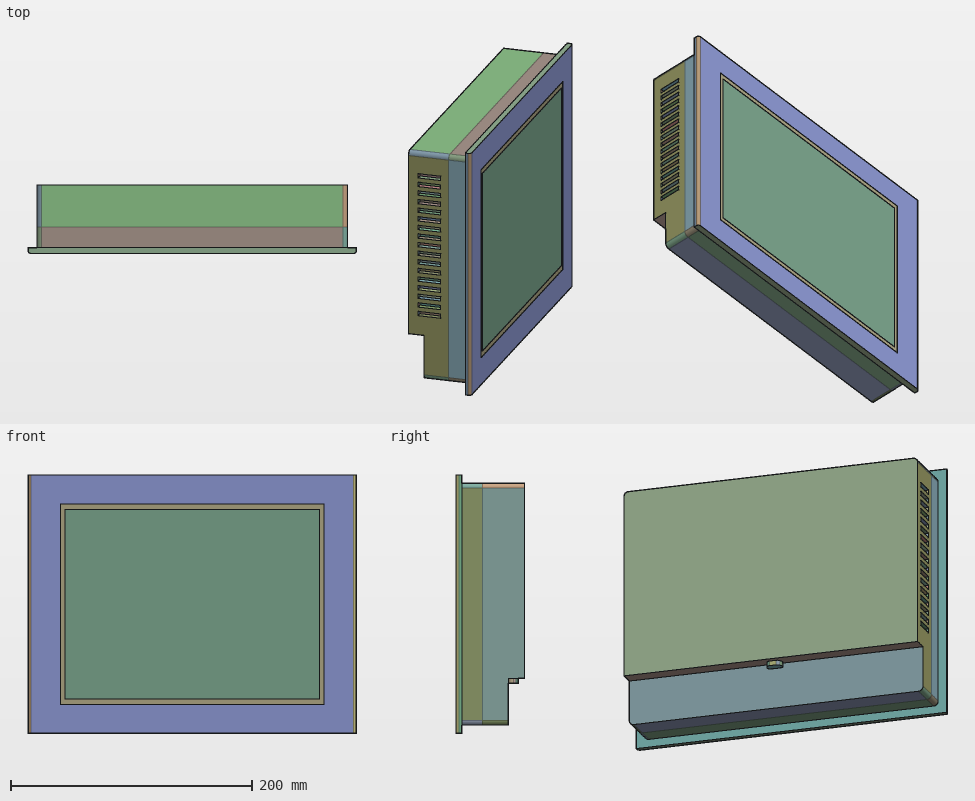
import cadquery as cq


bezel_width = 272.5
bezel_height = 214.5
bezel_thickness = 5.0
bezel_edge_radius = 2.5

frame_width = 218.5
frame_height = 166.5
frame_depth = 0.1
window_width = 211.5
window_height = 157.5
window_depth = 0.2

total_depth = 57.0
housing_width = 258.0
housing_height = 200.8
housing_corner_radius = 4.0
cover_depth = 35.0

step_depth = 13.5
step_height = 38.8

vent_count = 17
vent_pitch = 7.63
vent_length = 19.6
vent_height = 3.8
vent_depth = 5.0
vent_back_margin = 8.4
top_vent_below_housing_top = 21.0

connector_depth = 8.3
connector_wide_side = 17.0
connector_narrow_side = 10.0
connector_length = 4.0
connector_corner_radius = 3.2

housing_bottom = -housing_height / 2
step_z = housing_bottom + step_height
step_y = total_depth - step_depth
seam_y = total_depth - cover_depth


def box_between(width, y_front, y_back, height):
    """Block centred in X and Z that spans two Y positions."""
    block = cq.Workplane("XY").box(width, y_back - y_front, height, centered=(True, False, True))
    return block.translate((0, y_front, 0))


def make_bezel():
    bezel = box_between(bezel_width, 0, bezel_thickness, bezel_height)
    bezel = bezel.faces("<Y").edges("|Z").fillet(bezel_edge_radius)
    bezel = bezel.cut(box_between(frame_width, 0, frame_depth, frame_height))
    return bezel.cut(box_between(window_width, 0, window_depth, window_height))


def make_housing_section(y_front, y_back):
    section = box_between(housing_width, y_front, y_back, housing_height)
    return section.edges("|Y").fillet(housing_corner_radius)


def cut_step(cover):
    notch = cq.Workplane("XY").box(housing_width, step_depth, step_height, centered=(True, False, False))
    return cover.cut(notch.translate((0, step_y, housing_bottom)))


def cut_vents(cover):
    vent = cq.Workplane("XY").box(vent_depth, vent_length, vent_height, centered=(False, False, True))
    vent_y = total_depth - vent_back_margin - vent_length
    top_vent_z = housing_height / 2 - top_vent_below_housing_top
    for index in range(vent_count):
        vent_z = top_vent_z - index * vent_pitch
        cover = cover.cut(vent.translate((-housing_width / 2, vent_y, vent_z)))
    return cover


def make_connector():
    half_wide = connector_wide_side / 2
    half_narrow = connector_narrow_side / 2
    back_y = step_y + connector_depth
    outline = [(-half_wide, step_y), (half_wide, step_y), (half_narrow, back_y), (-half_narrow, back_y)]
    shell = cq.Workplane("XY").workplane(offset=step_z).polyline(outline).close()
    return shell.extrude(-connector_length).edges("|Z").fillet(connector_corner_radius)


def make_rear_cover():
    cover = make_housing_section(seam_y, total_depth)
    cover = cut_step(cover)
    cover = cut_vents(cover)
    return cover.union(make_connector())


front_section = make_bezel().union(make_housing_section(bezel_thickness, seam_y))
result = front_section.union(make_rear_cover(), clean=False)